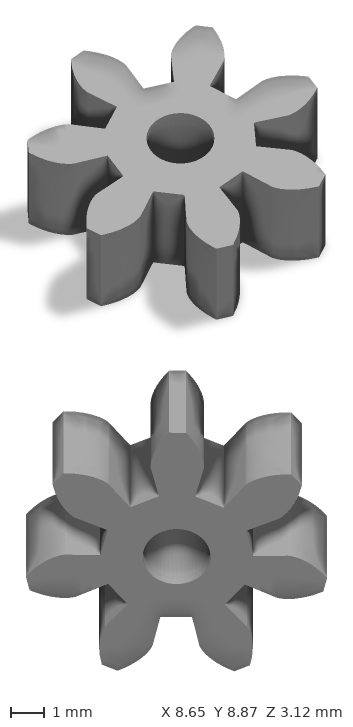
import cadquery as cq
import math

tooth_count = 7
pressure_angle = math.radians(20)
addendum_factor = 1.0
dedendum_factor = 1.25
overall_width = 8.87
thickness = 3.12
bore_diameter = 2.0
involute_steps = 8

pitch_factor = tooth_count / 2
base_factor = pitch_factor * math.cos(pressure_angle)
tip_factor = pitch_factor + addendum_factor


def involute_angle(roll):
    """Polar angle swept by an involute after the given roll angle."""
    return roll - math.atan(roll)


pitch_roll = math.tan(pressure_angle)
tip_roll = math.sqrt((tip_factor / base_factor) ** 2 - 1)
base_half_angle = math.pi / (2 * tooth_count) + involute_angle(pitch_roll)
tip_half_angle = base_half_angle - involute_angle(tip_roll)

tooth_pitch_angle = 2 * math.pi / tooth_count
widest_corner_angle = 2 * tooth_pitch_angle - tip_half_angle
tip_radius = overall_width / 2 / math.sin(widest_corner_angle)
module = tip_radius / tip_factor
base_radius = module * base_factor
root_radius = module * (pitch_factor - dedendum_factor)


def polar(radius, angle):
    return (radius * math.cos(angle), radius * math.sin(angle))


def rising_flank(tooth_angle):
    """Involute points from base circle to tip, on the clockwise side of a tooth."""
    points = []
    for step in range(involute_steps + 1):
        roll = tip_roll * step / involute_steps
        radius = base_radius * math.sqrt(1 + roll ** 2)
        points.append(polar(radius, tooth_angle - base_half_angle + involute_angle(roll)))
    return points


def falling_flank(tooth_angle):
    """Involute points from tip to base circle, on the counterclockwise side of a tooth."""
    mirrored = rising_flank(-tooth_angle)
    return [(x, -y) for x, y in reversed(mirrored)]


def gear_outline():
    """Closed outline: radial roots, involute flanks, flat tips and flat tooth gaps."""
    outline = cq.Workplane("XY").moveTo(*polar(root_radius, -base_half_angle))
    for tooth in range(tooth_count):
        tooth_angle = tooth * tooth_pitch_angle
        rising = rising_flank(tooth_angle)
        falling = falling_flank(tooth_angle)
        outline = outline.lineTo(*rising[0]).spline(rising[1:], includeCurrent=True)
        outline = outline.lineTo(*falling[0]).spline(falling[1:], includeCurrent=True)
        outline = outline.lineTo(*polar(root_radius, tooth_angle + base_half_angle))
        if tooth < tooth_count - 1:
            next_angle = tooth_angle + tooth_pitch_angle
            outline = outline.lineTo(*polar(root_radius, next_angle - base_half_angle))
    return outline.close()


gear = gear_outline().extrude(thickness)
bore = cq.Workplane("XY").circle(bore_diameter / 2).extrude(thickness)
result = gear.cut(bore)